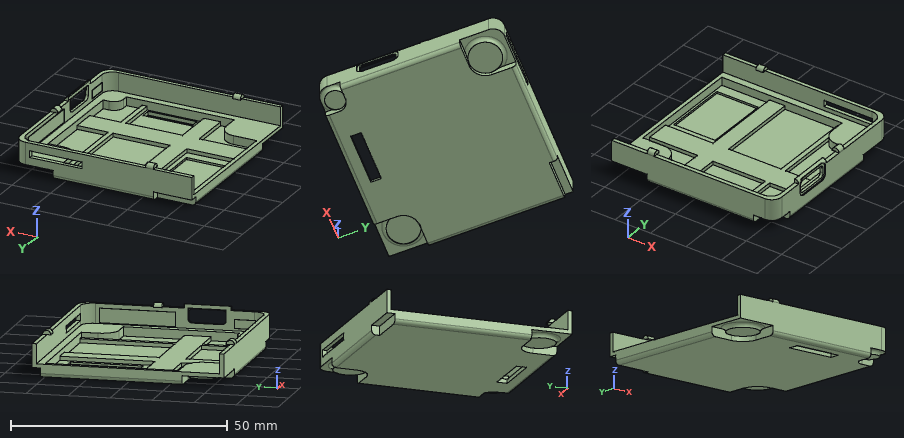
import cadquery as cq

length = 46.15
width = 45.75
wall_top = 8.0
wall = 1.1
inner_face = length - wall
corner_radius = 2.8
bottom_edge_radius = 1.0

ledge_level = 3.25
bar_level = 2.0
bay_level = 1.0
recess_level = 0.5
notch_ceiling = 2.25

bay_left = wall
bay_right = 43.1
bay_margin_y = 3.05
bay_back = width - bay_margin_y
pad_wall = 1.05

cross_bars_x = [(14.6, 18.95), (33.75, 35.0)]
long_bar_y = (13.8, 20.1)

recess_x = (1.7, 13.4)
recess_y = (22.6, 39.9)
floor_slot_x = (20.5, 33.17)
floor_slot_y = (3.6, 6.15)

large_notch = 10.0
large_foot_radius = 4.0
small_notch = 6.0
small_foot_radius = 2.5
foot_bottom = 1.25
corners = [
    (large_notch, large_foot_radius, -1, -1),
    (large_notch, large_foot_radius, 1, 1),
    (small_notch, small_foot_radius, 1, -1),
]
strip_notch_length = large_notch
strip_notch_width = 2.0

ridge_radius = 1.0
ridge_length = 2.05
side_ridge_x = 11.05
end_ridge_y = 26.8

tab_y = (9.55, 20.7)
port_y = (10.75, 19.8)
port_z = (4.5, wall_top)
port_depth = 0.4
port_radius = 1.0
lip_top = 7.8
outer_port_growth = 0.6
outer_port_depth = 0.3
outer_port_radius = 1.48

wall_slot_x = (28.6, 42.15)
wall_slot_z = (4.35, 6.0)
end_recess_depth = 0.1
end_recesses = [((22.8, 40.85), (3.4, 6.87)), ((3.7, 8.75), (3.8, 5.9))]


def block(x, y, z):
    """Axis-aligned box from (start, end) pairs."""
    return (
        cq.Workplane("XY")
        .box(x[1] - x[0], y[1] - y[0], z[1] - z[0], centered=False)
        .translate((x[0], y[0], z[0]))
    )


def corner_block(size, radius, toward_x, toward_y, z):
    """Square block in one corner of the tray, its inward vertical edge rounded."""
    x = (0, size) if toward_x < 0 else (length - size, length)
    y = (0, size) if toward_y < 0 else (width - size, width)
    inward_x = "<X" if toward_x > 0 else ">X"
    inward_y = "<Y" if toward_y > 0 else ">Y"
    inward_edge = f"|Z and {inward_x} and {inward_y}"
    return block(x, y, z).edges(inward_edge).fillet(radius)


def tray_shell():
    """Outer block with the space above the ledge cleared."""
    body = block((0, length), (0, width), (0, wall_top))
    body = body.edges("|Z and >X").fillet(corner_radius)
    body = body.faces("<Z").edges().fillet(bottom_edge_radius)
    room = block((-wall, inner_face), (wall, width - wall), (ledge_level, wall_top))
    room = room.edges("|Z and >X").fillet(corner_radius)
    return body.cut(room)


def bay():
    """Space below the ledge, around the corner pads and the bars."""
    levels = (bay_level, ledge_level)
    space = block((bay_left, bay_right), (bay_margin_y, bay_back), levels)
    for size, radius, side_x, side_y in corners:
        space = space.cut(corner_block(size + pad_wall, radius, side_x, side_y, levels))
    for bar_x in cross_bars_x:
        space = space.cut(block(bar_x, (0, width), (bay_level, bar_level)))
    return space.cut(block((0, length), long_bar_y, (bay_level, bar_level)))


def foot(size, radius, side_x, side_y):
    """Round foot under a notch ceiling, flaring out where it meets the ceiling."""
    reach = size - radius
    flare = notch_ceiling - foot_bottom
    profile = (
        cq.Workplane("XZ")
        .moveTo(0, foot_bottom)
        .lineTo(radius, foot_bottom)
        .radiusArc((radius + flare, notch_ceiling), flare)
        .lineTo(0, notch_ceiling)
        .close()
    )
    x = reach if side_x < 0 else length - reach
    y = reach if side_y < 0 else width - reach
    return profile.revolve(360, (0, 0, 0), (0, 1, 0)).translate((x, y, 0))


def above_walls(solid):
    """Keep only what stands above the top of the walls."""
    upper = block((-length, 2 * length), (-width, 2 * width), (wall_top, 2 * wall_top))
    return solid.intersect(upper)


def side_ridge(y):
    """Half-round snap ridge across the top of a side wall."""
    bar = cq.Workplane("YZ").circle(ridge_radius).extrude(ridge_length)
    return above_walls(bar.translate((side_ridge_x - ridge_length / 2, y, wall_top)))


def end_ridge(y):
    """Half-round ridge on top of the +X wall, filling a (start, end) span in Y."""
    bar = cq.Workplane("XZ").circle(ridge_radius).extrude(y[0] - y[1])
    return above_walls(bar.translate((length - ridge_radius, y[0], wall_top)))


def port_opening():
    """Stepped opening: square-topped inside, rounded through, recessed outside."""
    port_floor = port_z[0]
    inner = block((inner_face, inner_face + port_depth), port_y, port_z)
    inner = inner.edges("|X and <Z").fillet(port_radius)
    through = block((inner_face, length), port_y, (port_floor, lip_top))
    through = through.edges("|X").fillet(port_radius)
    outer_y = (port_y[0] - outer_port_growth, port_y[1] + outer_port_growth)
    outer_z = (port_floor - outer_port_growth, port_z[1] + outer_port_growth)
    outer = block((length - outer_port_depth, length), outer_y, outer_z)
    outer = outer.edges("|X").fillet(outer_port_radius)
    return inner.union(through).union(outer)


result = tray_shell().cut(bay())
result = result.cut(block(recess_x, recess_y, (recess_level, bay_level)))
result = result.cut(block(floor_slot_x, floor_slot_y, (0, bay_level)))

for size, radius, side_x, side_y in corners:
    notch = corner_block(size, radius, side_x, side_y, (0, notch_ceiling))
    result = result.cut(notch.cut(foot(size, radius, side_x, side_y)))
strip_y = (width - strip_notch_width, width)
result = result.cut(block((0, strip_notch_length), strip_y, (0, notch_ceiling)))

for ridge_y in (ridge_radius, width - ridge_radius):
    result = result.union(side_ridge(ridge_y))
result = result.union(end_ridge((end_ridge_y - ridge_length / 2, end_ridge_y + ridge_length / 2)))

tab_limits = block((inner_face, length), tab_y, (wall_top, 2 * wall_top))
result = result.union(end_ridge(tab_y).intersect(tab_limits))
result = result.cut(port_opening())

result = result.cut(block(wall_slot_x, (width - wall, width), wall_slot_z))
recess_depth_x = (inner_face - wall, inner_face + end_recess_depth)
for recess_span, recess_height in end_recesses:
    result = result.cut(block(recess_depth_x, recess_span, recess_height))